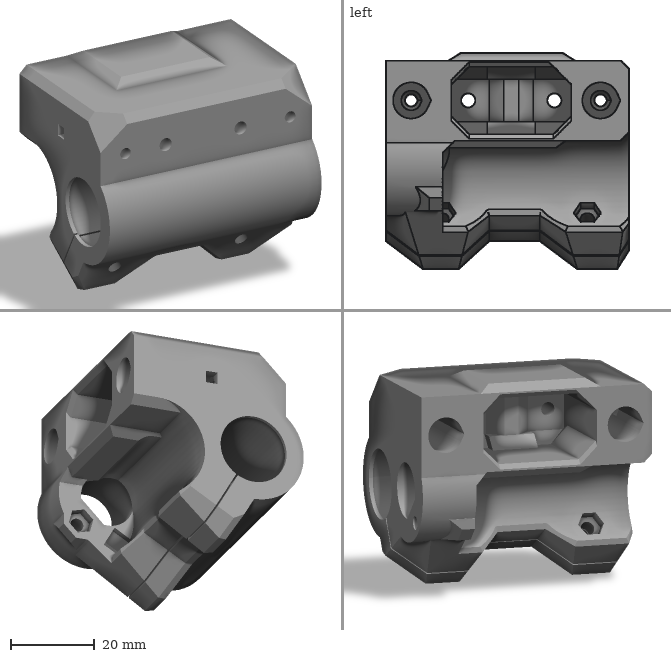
import cadquery as cq
import math


LENGTH = 58.0
REACH = 87.0
MARGIN = 0.6

block_width = 39.2
edge_chamfer = 2.0
right_depth = 26.7
core_depth = 33.25
corner_start = 31.25
corner_rise = 7.3

pad_width = 24.2
pad_height = 1.8
pad_inset = 2.95
pad_start, pad_end = 12.9, 43.1

bearing_x, bearing_z = 30.8, -26.4
clamp_radius = 12.95
end_bore_diameter = 17.0
bearing_diameter = 19.0
lip_length = 1.0
slit_width = 0.45

slit_tilt = 30.0
tab_right_face = 6.6
tab_right_end = 22.9
tab_low = 24.05
tab_high = 16.35
tab_front_end = 18.85
tab_front_run = 2.85
tab_rear_run = 8.9
front_lobe_end, rear_lobe_start = 12.35, 40.65
gap_start, gap_end = 21.3, 33.35
tab_right = 5.0
tab_left = -2.85
tab_left_lean = 15.0
tab_left_run = 2.9
tab_left_taper = 50.0
tab_right_taper = 38.0
tab_profile_overshoot = 6.95
under_left = (6.5, -35.85)
under_right = (23.0, -49.7)
under_tip = (25.05, -49.55)

screw_diameter = 3.3
screw_out = 16.0
screw_places = (10.0, 44.6)
nut_flats = 5.6
nut_turn = 30.0
nut_pocket_floor = -4.9
nut_pocket_mouth = -12.5

saddle_x, saddle_z = 6.15, -29.2
saddle_radius = 12.1
saddle_end = 44.5
saddle_ceiling = -19.1
saddle_right = 12.5

lug_x, lug_z = 11.4, -24.55
lug_radius = 12.45
lug_bore_diameter = 13.5
lug_cone_run = 2.05
lug_lip_low = -22.05
lip_drop = saddle_ceiling - lug_lip_low

boss_x, boss_z = 4.7, -31.25
boss_half = 4.2
boss_left = 0.25
boss_shoulder = -30.1
boss_right = 10.9
boss_top_x = 4.75
boss_bottom = -35.85
boss_outer_end = 47.7
boss_taper = 60.0
boss_nut_depth = 2.6
boss_nut_turn = 15.0

pocket_z = -9.5
pocket_start, pocket_end = 13.8, 42.4
pocket_half_height = 9.1
pocket_corner = 4.25
mouth_inset = 1.1
mouth_depth = 1.15
pocket_straight_depth = 22.05
pocket_depth = 24.95
pocket_back_half_height = 5.1
pocket_back_corner = 0.3
ramp_width = 11.35
ridge_base, ridge_top, ridge_height = 10.5, 3.55, 3.5
pocket_hole_spacing = 20.55

bulge_low = -20.8
bulge_chamfer = 1.8
bulge_start = 17.45
bulge_ramp = 2.4
bulge_right = 18.55
bulge_relief_radius = 4.8

mount_places = (6.85, 51.95)
mount_bore = 8.65
mount_depth = 23.2
mount_hole = 2.85
mount_sink = 4.7
tip_reach = 1.1

window_x = 20.05
window_size = 2.95


def prism_y(points, start, end):
    """Outline in XZ extruded from Y = start to Y = end."""
    flat = cq.Workplane("XZ", origin=(0, start, 0)).polyline(points).close()
    return flat.extrude(start - end)


def prism_x(points, start, end):
    """Outline in YZ extruded from X = start to X = end."""
    return cq.Workplane("YZ", origin=(start, 0, 0)).polyline(points).close().extrude(end - start)


def rod_y(x, z, radius, start, end):
    """Cylinder along Y."""
    return cq.Workplane("XZ", origin=(x, start, z)).circle(radius).extrude(start - end)


def clamp_plane(n, lean=0.0):
    """Plane square to the clamp screws: local x is Y, local -y runs outward along the slit.

    The plane crosses the line through the bearing axis at n; lean turns it about that crossing.
    """
    turned = math.radians(slit_tilt + lean)
    normal = (math.cos(turned), 0, -math.sin(turned))
    x, z = clamp_point(n, 0)
    return cq.Workplane(cq.Plane(origin=(x, 0, z), xDir=(0, 1, 0), normal=normal))


def clamp_point(n, out):
    """XZ place of a point given across and along the slit."""
    tilt = math.radians(slit_tilt)
    x = bearing_x + n * math.cos(tilt) - out * math.sin(tilt)
    z = bearing_z - n * math.sin(tilt) - out * math.cos(tilt)
    return (x, z)


def make_block():
    c = edge_chamfer
    block = prism_y(
        [(0, 0), (block_width - c, 0), (block_width, -c), (block_width, -right_depth),
         (saddle_x + saddle_radius, -core_depth), (saddle_x, bulge_low), (0, bulge_low)],
        0, LENGTH)
    front_edge = prism_x([(0, 0), (c, 0), (0, -c)], -MARGIN, block_width + MARGIN)
    block = block.cut(front_edge)
    return block.cut(corner_wedge(0, 1)).cut(corner_wedge(LENGTH, -1))


def corner_wedge(face_y, inward):
    """Tool for the sloped cut on a top right corner, ending at the long edge chamfer."""
    size = 17.4

    def triangle(x):
        return [(x, 0), (x + size, 0), (x + size, -size)]

    outer = cq.Workplane("XZ", origin=(0, face_y, 0)).polyline(triangle(corner_start)).close()
    inner = outer.workplane(offset=-inward * corner_rise)
    return inner.polyline(triangle(block_width - edge_chamfer)).close().loft(ruled=True)


def make_pad():
    taper = math.degrees(math.atan2(pad_inset, pad_height))
    mid = (pad_start + pad_end) / 2
    pad = cq.Workplane("XY").center(pad_width / 2, mid).rect(pad_width, pad_end - pad_start)
    return pad.extrude(pad_height, taper=taper)


def tab_outline(n, lean=0.0):
    """Tab end profile on a plane across the tab, running on past both ends of the part."""
    s = tab_profile_overshoot
    front_slope = (tab_low - tab_front_end) / tab_front_run
    rear_slope = (tab_low - tab_high) / tab_rear_run
    profile = [(-s, tab_front_end - s * front_slope), (tab_front_run, tab_low),
               (front_lobe_end, tab_low), (gap_start, tab_high),
               (gap_end, tab_high), (rear_lobe_start, tab_low),
               (LENGTH - tab_rear_run, tab_low),
               (LENGTH + s, tab_high - s * rear_slope), (LENGTH + s, -REACH), (-s, -REACH)]
    stretch = 1 / math.cos(math.radians(lean))
    return clamp_plane(n, lean).polyline([(y, -out * stretch) for y, out in profile]).close()


def tab_section(start):
    """Tab and lug foot, cut along their common sloped underside."""
    return prism_y(
        [(bearing_x, bearing_z), clamp_point(tab_right_face, 0), clamp_point(tab_right_face, tab_right_end),
         under_tip, under_right, under_left, (lug_x, lug_z)], start, LENGTH)


def make_tab():
    right_run = tab_right_face - tab_right
    right_of_bevel = clamp_plane(tab_left, tab_left_lean).rect(2 * REACH, 2 * REACH).extrude(REACH)
    middle = tab_outline(-REACH / 2).extrude(REACH / 2 + tab_right).intersect(right_of_bevel)
    right_bevel = tab_outline(tab_right).extrude(right_run, taper=tab_right_taper)
    left_bevel = tab_outline(tab_left, tab_left_lean).extrude(-tab_left_run, taper=tab_left_taper)
    return tab_section(0).intersect(middle.union(right_bevel).union(left_bevel))


def make_lug():
    lug = rod_y(lug_x, lug_z, lug_radius, saddle_end - lip_drop, LENGTH)
    foot = tab_section(saddle_end).intersect(tab_outline(-REACH / 2).extrude(REACH / 2))
    bore = rod_y(lug_x, lug_z, lug_bore_diameter / 2, 0, LENGTH + MARGIN)
    return lug.union(foot).cut(bore)


def make_bulge():
    """Thickened ceiling: bevelled along its left edge and ramped at its front end."""
    across = prism_y(
        [(0, saddle_ceiling), (bulge_chamfer, bulge_low),
         (bulge_right, bulge_low), (bulge_right, saddle_ceiling)],
        0, saddle_end)
    along = prism_x(
        [(bulge_start, bulge_low), (bulge_start - bulge_ramp, saddle_ceiling),
         (saddle_end, saddle_ceiling), (saddle_end, bulge_low)], 0, bulge_right)
    relief_top = lug_z + bulge_relief_radius
    relief = rod_y(lug_x, lug_z, bulge_relief_radius, 0, saddle_end)
    beside = prism_y([(lug_x, relief_top), (bulge_right, relief_top), (bulge_right, lug_z), (lug_x, lug_z)],
                     0, saddle_end)
    return across.intersect(along).cut(relief).cut(beside)


def saddle_tool():
    """Round trough under a flat ceiling, flared at the front and ending in a sloped, bored lip."""
    trough = rod_y(saddle_x, saddle_z, saddle_radius, -MARGIN, saddle_end)
    top = saddle_z + saddle_radius
    low = saddle_z - saddle_radius
    side = [(-MARGIN, low), (-MARGIN, top), (0, top), (top - saddle_ceiling, saddle_ceiling),
            (saddle_end - lip_drop, saddle_ceiling), (saddle_end, lug_lip_low), (saddle_end, low)]
    left = saddle_x - REACH
    corner = prism_y([(left, saddle_z), (saddle_x, saddle_z), (saddle_x, top), (left, top)], -MARGIN, saddle_end)
    drop = prism_y([(saddle_x, saddle_z), (saddle_right, saddle_z), (saddle_right, low), (saddle_x, low)],
                   -MARGIN, saddle_end)
    lip_bore = rod_y(lug_x, lug_z, lug_bore_diameter / 2, 0, saddle_end).intersect(trough)
    below = prism_x(
        [(0, low), (0, saddle_ceiling), (saddle_end, saddle_ceiling), (saddle_end, low)], -REACH, REACH)
    tool = trough.union(corner).union(drop).intersect(prism_x(side, -REACH, REACH))
    return tool.union(lip_bore.intersect(below))


def lug_bore_tool():
    """Lug bore, ending in a cone that nicks the trough wall."""
    radius = lug_bore_diameter / 2
    mouth = cq.Workplane("XZ", origin=(lug_x, saddle_end, lug_z)).circle(radius)
    cone = mouth.extrude(lug_cone_run, taper=45)
    return rod_y(lug_x, lug_z, radius, saddle_end, LENGTH + MARGIN).union(cone)


def make_boss():
    """Nut boss with 45 degree flats, its outer flat tapering into the lug."""
    across = boss_half * math.sqrt(2)
    outer_sum = boss_x + boss_z - across
    inner_sum = boss_x + boss_z + across
    outline = [(boss_left, boss_shoulder), (boss_left, outer_sum - boss_left),
               (outer_sum - boss_bottom, boss_bottom), under_left,
               (boss_right, inner_sum - boss_right), (boss_top_x, inner_sum - boss_top_x)]
    boss = prism_y(outline, saddle_end, LENGTH)
    slope = math.tan(math.radians(boss_taper))
    outer, inner = -2 * boss_half, 2 * boss_half
    outer_end = boss_outer_end + (outer + boss_half) * slope
    inner_end = boss_outer_end + (inner + boss_half) * slope
    diagonal = cq.Plane(origin=(boss_x, 0, boss_z), xDir=(0, 1, 0), normal=(1, 0, -1))
    taper = cq.Workplane(diagonal).polyline(
        [(0, outer), (0, inner), (inner_end, inner), (outer_end, outer)]).close()
    return boss.intersect(taper.extrude(REACH, both=True))


def bearing_tool():
    """Bearing bore with a lip at each end, and the clamping slit below it."""
    tool = rod_y(bearing_x, bearing_z, end_bore_diameter / 2, -MARGIN, LENGTH + MARGIN)
    tool = tool.union(rod_y(bearing_x, bearing_z, bearing_diameter / 2, lip_length, LENGTH - lip_length))
    slit = clamp_plane(-slit_width / 2).rect(2 * REACH, 2 * REACH).extrude(slit_width)
    below = cq.Workplane("XY", origin=(0, 0, bearing_z - REACH)).rect(2 * REACH, 2 * REACH).extrude(REACH)
    return tool.union(slit.intersect(below))


def screw_tool(y):
    """Clamp screw hole with a nut pocket open to the saddle."""
    mouth = clamp_plane(nut_pocket_mouth).center(y, -screw_out)
    hole = mouth.circle(screw_diameter / 2).extrude(tab_right_face - nut_pocket_mouth + MARGIN)
    nut = mouth.transformed(rotate=(0, 0, nut_turn)).polygon(6, nut_flats, circumscribed=True)
    return hole.union(nut.extrude(nut_pocket_floor - nut_pocket_mouth))


def boss_nut_tool():
    hole = rod_y(boss_x, boss_z, screw_diameter / 2, saddle_end - MARGIN, LENGTH + MARGIN)
    nut = cq.Workplane("XZ").polygon(6, nut_flats, circumscribed=True).extrude(-boss_nut_depth)
    nut = nut.rotate((0, 0, 0), (0, 1, 0), boss_nut_turn).translate((boss_x, saddle_end, boss_z))
    return hole.union(nut)


def pocket_section(x, half_height, corner, front_top_corner):
    """Rectangle with cut corners, the full width of the pocket."""
    low, high = pocket_z - half_height, pocket_z + half_height
    front, rear = pocket_start, pocket_end
    outline = [(front + corner, low), (rear - corner, low), (rear, low + corner), (rear, high - corner),
               (rear - corner, high), (front + front_top_corner, high),
               (front, high - front_top_corner), (front, low + corner)]
    return cq.Workplane("YZ", origin=(x, 0, 0)).polyline(outline).close().wire().val()


def pocket_tool():
    """Side pocket with a ridged, ramped back and two holes through it."""
    inner_half = pocket_half_height - mouth_inset
    sections = [
        pocket_section(0, pocket_half_height, pocket_corner, pocket_corner + mouth_inset),
        pocket_section(mouth_depth, inner_half, pocket_corner, pocket_corner),
        pocket_section(pocket_straight_depth, inner_half, pocket_corner, pocket_corner),
        pocket_section(pocket_depth, pocket_back_half_height, pocket_back_corner, pocket_back_corner)]
    tool = cq.Workplane(cq.Solid.makeLoft(sections, True))
    middle = (pocket_start + pocket_end) / 2
    base = cq.Workplane("XY", origin=(0, 0, pocket_z - pocket_back_half_height))
    crest = pocket_depth - ridge_height
    ridge = base.polyline(
        [(pocket_depth, middle - ridge_base / 2), (crest, middle - ridge_top / 2),
         (crest, middle + ridge_top / 2), (pocket_depth, middle + ridge_base / 2)]).close()
    tool = tool.cut(ridge.extrude(2 * pocket_back_half_height))
    ramp_run = pocket_depth - pocket_straight_depth
    for side in (-1, 1):
        near = pocket_z + side * pocket_back_half_height
        far = pocket_z + side * inner_half
        ramp = prism_y([(pocket_depth, near), (crest, near), (crest - ramp_run, far), (pocket_depth, far)],
                       middle - ramp_width / 2, middle + ramp_width / 2)
        tool = tool.cut(ramp)
    for side in (-1, 1):
        y = middle + side * pocket_hole_spacing / 2
        hole = cq.Workplane("YZ", origin=(0, y, pocket_z)).circle(screw_diameter / 2)
        tool = tool.union(hole.extrude(block_width + MARGIN))
    return tool


def teardrop(y, x, diameter):
    """Circle with a point toward the front, square to X."""
    radius = diameter / 2
    tangent_y = -radius / tip_reach
    tangent_z = math.sqrt(radius ** 2 - tangent_y ** 2)
    start = cq.Workplane("YZ", origin=(x, y, pocket_z)).moveTo(tangent_y, tangent_z)
    tip = start.lineTo(-radius * tip_reach, 0).lineTo(tangent_y, -tangent_z)
    return tip.threePointArc((radius, 0), (tangent_y, tangent_z)).close()


def mount_tool(y):
    """Deep screw bore with a countersunk hole at its floor."""
    tool = teardrop(y, 0, mount_bore).extrude(mount_depth)
    sink_depth = (mount_sink - mount_hole) / 2
    sink = teardrop(y, mount_depth, mount_sink).extrude(sink_depth, taper=45)
    return tool.union(sink).union(teardrop(y, 0, mount_hole).extrude(block_width + MARGIN))


def window_tool():
    """Square opening from the front face into the front mounting bore."""
    window = cq.Workplane("XZ", origin=(window_x, 0, pocket_z)).rect(window_size, window_size)
    return window.extrude(-mount_places[0])


body = make_block().union(make_pad())
body = body.union(rod_y(bearing_x, bearing_z, clamp_radius, 0, LENGTH))
body = body.union(make_tab()).union(make_lug())
body = body.cut(saddle_tool()).union(make_bulge())
body = body.cut(lug_bore_tool())
body = body.union(make_boss()).cut(boss_nut_tool())
body = body.cut(bearing_tool()).cut(pocket_tool()).cut(window_tool())
for place in screw_places:
    body = body.cut(screw_tool(place))
for place in mount_places:
    body = body.cut(mount_tool(place))
result = body